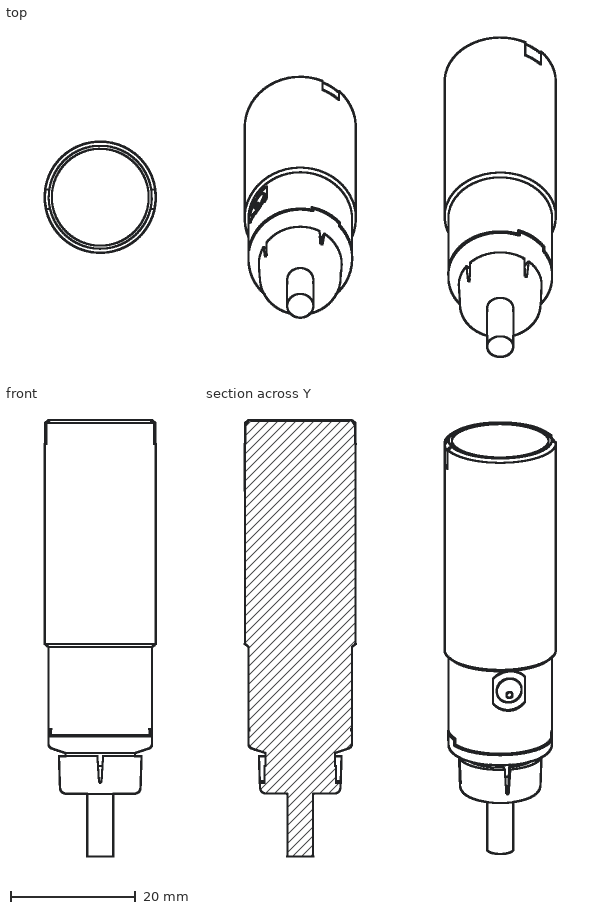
import cadquery as cq


cap_bottom = 10.1
cap_top = 16.1
neck_top = 16.6
rim_height = 17.5
step_bottom = 33.6
step_top = 34.1
total_height = 70.0

cable_radius = 2.1
cap_bottom_radius = 6.45
cap_top_radius = 6.65
neck_radius = 5.6
body_radius = 8.3
sleeve_diameter = 17.85
sleeve_radius = sleeve_diameter / 2
face_rim_radius = 8.25

overshoot = 0.7

cap_fillet = 1.0
rim_fillet = 0.85
face_chamfer_height = 0.5

lens_radius = 7.8
lens_recess = 0.15

key_width = 3.15
key_height = 3.85
key_depth = 0.1
key_center_y = -0.35
key_chamfer_height = 0.85

slot_count = 4
slot_top_width = 0.9
slot_end_width = 0.4
slot_shoulder = 14.55
slot_end = 12.1
slot_tip = 11.8
slot_shallow_radius = 5.75

slit_bottom = 19.25
slit_width = 0.2
slit_depth = 0.15
tab_width = 4.9
tab_height = 1.0

adjuster_height = 30.2
spot_radius = 3.35
spot_floor = 7.9
knob_radius = 2.0
knob_top = 8.1
pointer_radius = 0.5
pointer_drop = 0.7


def cylinder(radius, bottom, top):
    return cq.Workplane("XY").workplane(offset=bottom).circle(radius).extrude(top - bottom)


def revolve_profile(points):
    return cq.Workplane("XZ").polyline(points).close().revolve(360, (0, 0, 0), (0, 1, 0))


def y_disc(radius, height, start, end):
    """Disc whose axis runs along +Y, from y = start to y = end."""
    plane = cq.Workplane("XZ", origin=(0, start, height))
    return plane.circle(radius).extrude(start - end)


def make_cap():
    cap = revolve_profile([
        (0, cap_bottom),
        (cap_bottom_radius, cap_bottom),
        (cap_top_radius, cap_top),
        (0, cap_top),
    ])
    return cap.faces("<Z").edges().fillet(cap_fillet)


def make_body():
    """Lower body with a conical underside, rounded where it meets the wall."""
    body = revolve_profile([
        (0, neck_top),
        (neck_radius, neck_top),
        (body_radius, rim_height),
        (body_radius, step_bottom),
        (0, step_bottom),
    ])
    rim = cq.selectors.BoxSelector(
        (-sleeve_radius, -sleeve_radius, rim_height - rim_fillet),
        (sleeve_radius, sleeve_radius, rim_height + rim_fillet),
        boundingbox=True,
    )
    return body.edges(rim).fillet(rim_fillet)


def make_sleeve():
    return revolve_profile([
        (0, step_bottom),
        (body_radius, step_bottom),
        (sleeve_radius, step_top),
        (sleeve_radius, total_height - face_chamfer_height),
        (face_rim_radius, total_height),
        (0, total_height),
    ])


def key_cutter():
    """Both keys: thin shell with its own taller chamfer, kept only within the key width."""
    floor_radius = sleeve_radius - key_depth
    outside = sleeve_radius + overshoot
    shell = revolve_profile([
        (floor_radius, total_height - key_height),
        (floor_radius, total_height - key_chamfer_height),
        (face_rim_radius, total_height),
        (outside, total_height),
        (outside, total_height - key_height),
    ])
    band = cq.Workplane("XY").center(0, key_center_y).rect(2 * outside, key_width).extrude(total_height)
    return shell.intersect(band)


def slot_cutter():
    """Tapered slot on +X that becomes shallower below its shoulder."""
    half_top = slot_top_width / 2
    half_end = slot_end_width / 2
    outline = [
        (-half_top, cap_top),
        (-half_end, slot_end),
        (0, slot_tip),
        (half_end, slot_end),
        (half_top, cap_top),
    ]
    wedge = cq.Workplane("YZ").polyline(outline).close().extrude(cap_top_radius + overshoot)
    core = cylinder(neck_radius, cap_bottom, cap_top)
    shallow_core = cylinder(slot_shallow_radius, cap_bottom, slot_shoulder)
    return wedge.cut(core).cut(shallow_core)


def cover_outline(top, margin):
    """End cover up to the given height, with its two tabs, grown sideways by a margin."""
    cover = cylinder(sleeve_radius, neck_top, top)
    tabs = cq.Workplane("XY").workplane(offset=neck_top).rect(
        2 * sleeve_radius, tab_width + 2 * margin
    ).extrude(top + tab_height - neck_top)
    return cover.union(tabs)


def slit_cutter():
    outer = cover_outline(slit_bottom + slit_width, slit_width)
    inner = cover_outline(slit_bottom, 0)
    core = cylinder(body_radius - slit_depth, neck_top, step_bottom)
    return outer.cut(inner).cut(core)


result = cylinder(cable_radius, 0, cap_bottom)
result = result.union(make_cap())
result = result.union(cylinder(neck_radius, cap_top, neck_top))
result = result.union(make_body())
result = result.union(make_sleeve())

result = result.cut(cylinder(lens_radius, total_height - lens_recess, total_height))

result = result.cut(key_cutter())

for index in range(slot_count):
    angle = index * 360 / slot_count
    result = result.cut(slot_cutter().rotate((0, 0, 0), (0, 0, 1), angle))

result = result.cut(slit_cutter())

result = result.cut(y_disc(spot_radius, adjuster_height, spot_floor, sleeve_radius))
result = result.union(y_disc(knob_radius, adjuster_height, spot_floor - overshoot, knob_top))
result = result.union(y_disc(pointer_radius, adjuster_height - pointer_drop, spot_floor, body_radius))